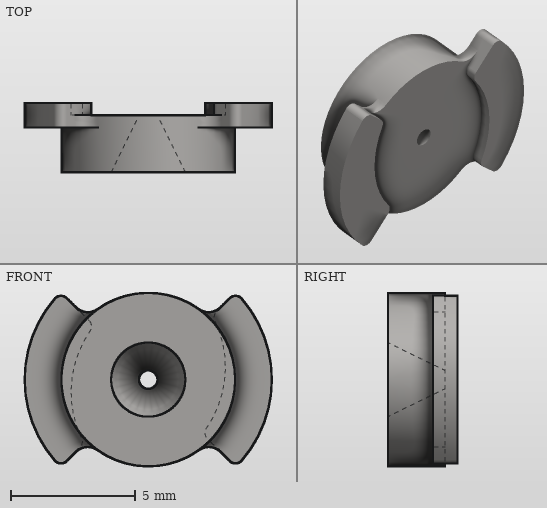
import cadquery as cq
import math

total_depth = 2.8
disc_radius = 3.5
rim_thickness = 0.5
wing_radius = 4.985
wing_thickness = 1.0
wing_half_angle = 45.0
tip_fillet = 0.33
root_fillet = 0.7
hook_fillet = 0.35
wall_wide_radius = 3.65
wall_middle_radius = 3.08
wall_narrow_radius = 3.08
funnel_radius = 1.5
bore_radius = 0.37

disc_thickness = total_depth - rim_thickness
wing_front = total_depth - wing_thickness
web_thickness = wing_thickness - rim_thickness


def plane_at(depth):
    """Workplane across the axis at Y = depth, with local axes X and Z; a negative extrusion goes to +Y."""
    return cq.Workplane("XZ", origin=(0, depth, 0))


def polar(radius, degrees):
    """X and Z of the point at this radius and at this angle from +X toward +Z."""
    angle = math.radians(degrees)
    return radius * math.cos(angle), radius * math.sin(angle)


def both_wings(body):
    """The body together with a copy turned half a turn about the part's axis."""
    return body.union(body.rotate((0, 0, 0), (0, 1, 0), 180))


def make_sector(depth, thickness):
    """Pie slice on the +X side with rounded outer corners."""
    return (
        plane_at(depth)
        .lineTo(*polar(wing_radius, -wing_half_angle))
        .threePointArc((wing_radius, 0), polar(wing_radius, wing_half_angle))
        .close()
        .extrude(-thickness)
        .edges("|Y and (>Z or <Z)")
        .fillet(tip_fillet)
    )


def make_disc():
    return plane_at(0).circle(disc_radius).extrude(-disc_thickness)


def make_web():
    """Slab that joins both wings to the disc, with its four inner corners rounded."""
    hub = plane_at(wing_front).circle(disc_radius).extrude(-web_thickness)
    web = hub.union(both_wings(make_sector(wing_front, web_thickness)))
    for angle in (wing_half_angle, 180 - wing_half_angle, 180 + wing_half_angle, -wing_half_angle):
        x, z = polar(disc_radius, angle)
        root_corner = cq.selectors.NearestToPointSelector((x, wing_front + web_thickness / 2, z))
        web = web.edges("|Y").edges(root_corner).fillet(root_fillet)
    return web


def make_rims():
    """Parts of the wings behind the disc; each inner wall is an eccentric arc with rounded ends."""
    wide_corner = polar(wall_wide_radius, wing_half_angle)
    narrow_corner = polar(wall_narrow_radius, -wing_half_angle)
    opening = (
        plane_at(disc_thickness)
        .lineTo(*narrow_corner)
        .threePointArc((wall_middle_radius, 0), wide_corner)
        .close()
        .extrude(-rim_thickness)
    )
    rim = make_sector(disc_thickness, rim_thickness).cut(opening)
    for x, z in (wide_corner, narrow_corner):
        hook_corner = cq.selectors.NearestToPointSelector((x, disc_thickness + rim_thickness / 2, z))
        rim = rim.edges("|Y").edges(hook_corner).fillet(hook_fillet)
    return both_wings(rim)


def make_funnel():
    """Conical hole through the disc, wide at the plain face."""
    half_section = [(0, 0), (funnel_radius, 0), (bore_radius, disc_thickness), (0, disc_thickness)]
    return cq.Workplane("XY").polyline(half_section).close().revolve(360, (0, 0, 0), (0, 1, 0))


result = make_disc().union(make_web()).union(make_rims()).cut(make_funnel())